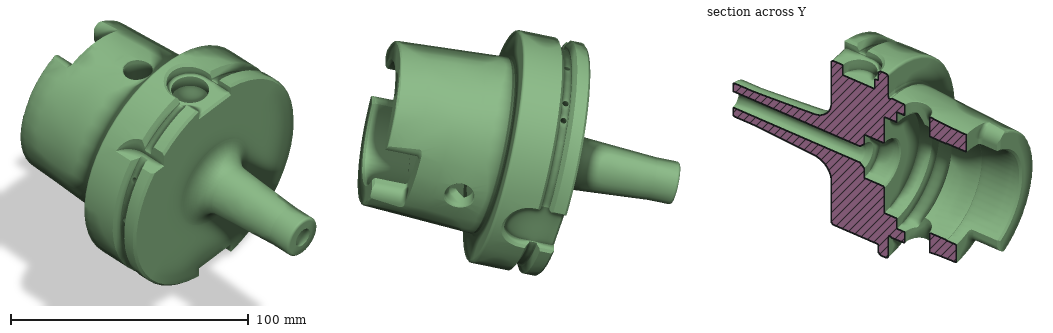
import cadquery as cq
import math

total_length = 129.0
flange_front_x = 49.7
flange_back_x = 79.0
flange_radius = 49.99

shank_end_radius = 35.3
shank_root_radius = 37.9
shank_root_x = 47.9
shank_end_round = 0.9
undercut_radius = 37.3
undercut_start_x = 48.6
undercut_end_x = 49.3
undercut_rim_radius = 38.8

flange_front_round = 1.2
flange_back_chamfer = 1.0
groove_start_x = 66.4
groove_end_x = 73.0
groove_floor_radius = 46.0
groove_floor_width = 3.5
groove_floor_round = 0.4
groove_wall_depth = 2.8
groove_middle_x = (groove_start_x + groove_end_x) / 2
groove_wall_radius = flange_radius - groove_wall_depth

neck_blend_radius = 9.4
neck_start_x = flange_back_x + neck_blend_radius
neck_radius = 11.2
nose_radius = 9.2
nose_start_x = 118.7
nose_round = 1.2

bore_radius = 26.2
bore_mouth_chamfer = 0.9
bore_depth = 51.6
guide_start_x = 19.9
guide_radius = 25.9
recess_start_x = 35.2
recess_bevel_end_x = 38.3
recess_end_x = 45.2
recess_radius = 31.5
pilot_radius = 11.6
pilot_chamfer = 0.6
pilot_depth = 10.3
through_radius = 4.3
countersink_radius = 6.5

drive_slot_half_width = 9.9
drive_slot_flat_z = 32.1
drive_slot_corner = 5.0
drive_slot_floor_round = 1.4
drive_slot_mouth_chamfer = 1.0
drive_slot_depth_top = 9.8
drive_slot_depth_bottom = 14.8

cross_hole_x = 35.0
cross_hole_radius = 6.2
cross_hole_chamfer = 0.32

keyway_x = 64.8
keyway_half_width = 9.9
keyway_floor_z = 44.5
keyway_chamfer = 1.2
pocket_radius = 8.0
pocket_depth = 5.4

notch_corner = 31.6
notch_end_x = 67.5
notch_cutter_radius = 9.9

groove_hole_radius = 1.3
groove_hole_depth = 5.2
groove_hole_angles = (30, 5, -20, -30)

margin = 6.5
rim_search = 0.3


def turned_body():
    outline = (
        cq.Workplane("XY")
        .moveTo(0, 0)
        .lineTo(0, shank_end_radius - shank_end_round)
        .radiusArc((shank_end_round, shank_end_radius), shank_end_round)
        .lineTo(shank_root_x, shank_root_radius)
        .lineTo(undercut_start_x, undercut_radius)
        .lineTo(undercut_end_x, undercut_radius)
        .lineTo(flange_front_x, undercut_rim_radius)
        .lineTo(flange_front_x, flange_radius - flange_front_round)
        .radiusArc((flange_front_x + flange_front_round, flange_radius), flange_front_round)
        .lineTo(flange_back_x - flange_back_chamfer, flange_radius)
        .lineTo(flange_back_x, flange_radius - flange_back_chamfer)
        .lineTo(flange_back_x, neck_radius + neck_blend_radius)
        .radiusArc((neck_start_x, neck_radius), -neck_blend_radius)
        .lineTo(nose_start_x, nose_radius)
        .lineTo(total_length - nose_round, nose_radius)
        .radiusArc((total_length, nose_radius - nose_round), nose_round)
        .lineTo(total_length, 0)
        .close()
    )
    return outline.revolve(360, (0, 0, 0), (1, 0, 0))


def gripper_groove():
    floor_start_x = groove_middle_x - groove_floor_width / 2
    floor_end_x = groove_middle_x + groove_floor_width / 2
    outline = (
        cq.Workplane("XY")
        .moveTo(groove_start_x, flange_radius)
        .lineTo(floor_start_x, groove_wall_radius)
        .lineTo(floor_start_x, groove_floor_radius + groove_floor_round)
        .radiusArc((floor_start_x + groove_floor_round, groove_floor_radius), -groove_floor_round)
        .lineTo(floor_end_x - groove_floor_round, groove_floor_radius)
        .radiusArc((floor_end_x, groove_floor_radius + groove_floor_round), -groove_floor_round)
        .lineTo(floor_end_x, groove_wall_radius)
        .lineTo(groove_end_x, flange_radius)
        .close()
    )
    return outline.revolve(360, (0, 0, 0), (1, 0, 0))


def bores():
    pilot_end_x = bore_depth + pilot_depth
    countersink_depth = countersink_radius - through_radius
    outline = (
        cq.Workplane("XY")
        .moveTo(0, 0)
        .lineTo(0, bore_radius + bore_mouth_chamfer)
        .lineTo(bore_mouth_chamfer, bore_radius)
        .lineTo(guide_start_x, bore_radius)
        .lineTo(guide_start_x, guide_radius)
        .lineTo(recess_start_x, guide_radius)
        .lineTo(recess_bevel_end_x, recess_radius)
        .lineTo(recess_end_x, recess_radius)
        .lineTo(recess_end_x, guide_radius)
        .lineTo(bore_depth, guide_radius)
        .lineTo(bore_depth, pilot_radius + pilot_chamfer)
        .lineTo(bore_depth + pilot_chamfer, pilot_radius)
        .lineTo(pilot_end_x, pilot_radius)
        .lineTo(pilot_end_x, countersink_radius)
        .lineTo(pilot_end_x + countersink_depth, through_radius)
        .lineTo(total_length, through_radius)
        .lineTo(total_length, 0)
        .close()
    )
    return outline.revolve(360, (0, 0, 0), (1, 0, 0))


def drive_slot(depth):
    """Slot opening upwards, its side walls rolling over into flats on either side."""
    wall = drive_slot_half_width
    corner = drive_slot_corner
    flat_z = drive_slot_flat_z
    reach = flange_radius
    slot = (
        cq.Workplane("YZ")
        .moveTo(-wall, 0)
        .lineTo(-wall, flat_z - corner)
        .radiusArc((-wall - corner, flat_z), -corner)
        .lineTo(-reach, flat_z)
        .lineTo(-reach, reach)
        .lineTo(reach, reach)
        .lineTo(reach, flat_z)
        .lineTo(wall + corner, flat_z)
        .radiusArc((wall, flat_z - corner), -corner)
        .lineTo(wall, 0)
        .close()
        .extrude(depth)
        .faces(">X")
        .edges()
        .fillet(drive_slot_floor_round)
    )
    mouth_wall = wall + drive_slot_mouth_chamfer
    mouth = (
        cq.Workplane("XY")
        .moveTo(0, -mouth_wall)
        .lineTo(0, mouth_wall)
        .lineTo(drive_slot_mouth_chamfer, wall)
        .lineTo(drive_slot_mouth_chamfer, -wall)
        .close()
        .extrude(flat_z)
    )
    return slot.union(mouth)


def round_ended_channel(end_x, middle_y, half_width, floor_z):
    """Upright cutter path: a round inner end at end_x, running out past the back of the flange."""
    length = flange_back_x + margin - end_x
    floor = cq.Workplane("XY", origin=(end_x, middle_y, floor_z))
    run = floor.center(length / 2, 0).rect(length, 2 * half_width).extrude(flange_radius)
    return run.union(floor.circle(half_width).extrude(flange_radius))


def keyway():
    return round_ended_channel(keyway_x, 0, keyway_half_width, keyway_floor_z)


def keyway_rim_edges():
    """Selects the edges where the keyway walls meet the outside of the flange."""
    reach = keyway_half_width + margin
    rim_z = math.sqrt(flange_radius**2 - keyway_half_width**2)
    start = (keyway_x - reach, -reach, rim_z - rim_search)
    end = (flange_back_x - flange_back_chamfer, reach, flange_radius + rim_search)
    return cq.selectors.BoxSelector(start, end)


def pocket():
    return (
        cq.Workplane("XY")
        .workplane(offset=keyway_floor_z - pocket_depth)
        .center(keyway_x, 0)
        .circle(pocket_radius)
        .extrude(pocket_depth + margin)
    )


def orientation_notch():
    """Flat floor and flat wall left by an upright cutter run in from the back of the flange."""
    path_y = -notch_corner - notch_cutter_radius
    return round_ended_channel(notch_end_x, path_y, notch_cutter_radius, notch_corner)


def cross_hole():
    middle = cq.Workplane("XY").center(cross_hole_x, 0)
    return middle.circle(cross_hole_radius).extrude(flange_radius, both=True)


def cross_hole_rim_edges():
    """Selects the outer edges of the cross hole, top and bottom."""
    rim = cq.selectors.BoxSelector(
        (cross_hole_x - margin, -margin, bore_radius + margin),
        (cross_hole_x + margin, margin, shank_root_radius),
    )
    opposite_rim = cq.selectors.BoxSelector(
        (cross_hole_x - margin, -margin, -shank_root_radius),
        (cross_hole_x + margin, margin, -bore_radius - margin),
    )
    return rim + opposite_rim


def groove_hole(angle):
    """Radial drilled hole with a conical bottom, opening in the groove floor."""
    bottom = groove_floor_radius - groove_hole_depth
    hole = (
        cq.Workplane("XY", origin=(groove_middle_x, 0, 0))
        .moveTo(0, -groove_floor_radius - margin)
        .lineTo(groove_hole_radius, -groove_floor_radius - margin)
        .lineTo(groove_hole_radius, -bottom)
        .lineTo(0, -bottom + groove_hole_radius)
        .close()
        .revolve(360, (0, 0, 0), (0, 1, 0))
    )
    return hole.rotate((0, 0, 0), (1, 0, 0), -angle)


def turned_over(shape):
    return shape.rotate((0, 0, 0), (1, 0, 0), 180)


body = turned_body()
for _ in range(2):
    body = body.cut(keyway()).edges(keyway_rim_edges()).chamfer(keyway_chamfer)
    floor_back_edge = cq.selectors.NearestToPointSelector((flange_back_x, 0, keyway_floor_z))
    body = turned_over(body.edges(floor_back_edge).chamfer(flange_back_chamfer))
body = body.cut(gripper_groove())
body = body.cut(pocket())
body = body.cut(orientation_notch())
for angle in groove_hole_angles:
    body = body.cut(groove_hole(angle))

body = body.cut(bores())
body = body.cut(drive_slot(drive_slot_depth_top))
body = body.cut(turned_over(drive_slot(drive_slot_depth_bottom)))
body = body.cut(cross_hole()).edges(cross_hole_rim_edges()).chamfer(cross_hole_chamfer)

result = body